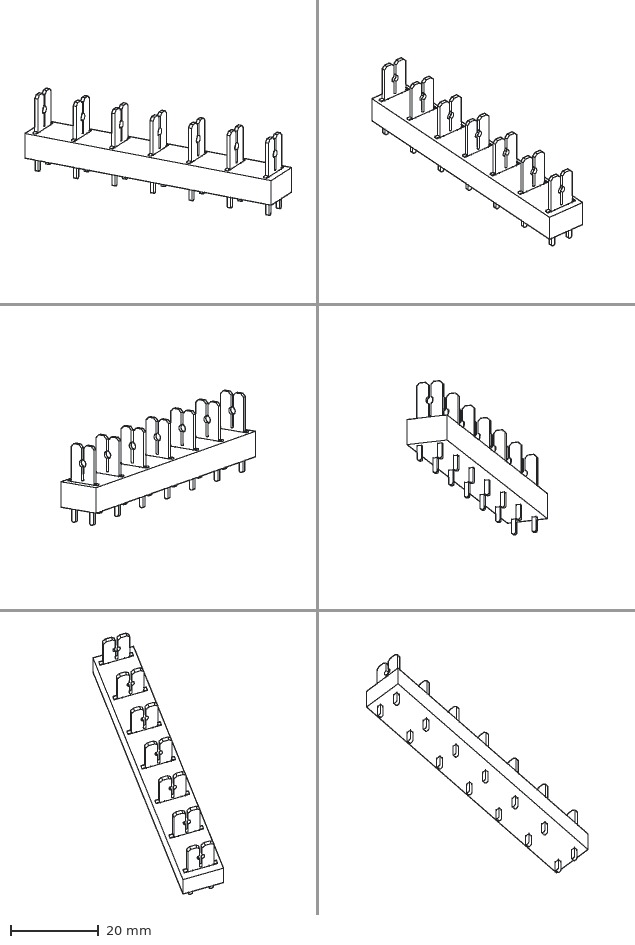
import cadquery as cq

housing_length = 64.0
housing_width = 9.8
housing_height = 6.0

contact_count = 7
contact_pitch = 10.0
contact_thickness = 0.8

shoulder_width = 8.05
shoulder_height = 0.25
shoulder_radius = 0.2
blade_width = 6.35
blade_height = 8.95
tip_chamfer = 0.7
slot_width = 0.6
slot_floor_height = 0.6
eye_diameter = 1.7
eye_height = 4.6
leg_width = 1.0
leg_spacing = 5.0
leg_projection = 3.5
leg_tip_radius = 0.45

blade_top = housing_height + blade_height
slot_floor = housing_height + slot_floor_height
prong_width = (blade_width - slot_width) / 2
prong_offset = (blade_width + slot_width) / 4
leg_offset = leg_spacing / 2
contact_positions = [
    (index - (contact_count - 1) / 2) * contact_pitch for index in range(contact_count)
]


def plate(width, bottom, top, y=0.0):
    """Upright plate of contact thickness, centred on X = 0."""
    return cq.Workplane("XY").box(
        contact_thickness, width, top - bottom, centered=(True, True, False)
    ).translate((0, y, bottom))


def extrude_profile(points):
    """Plate of contact thickness from an outline of (y, z) points, centred on X = 0."""
    return cq.Workplane("YZ").polyline(points).close().extrude(contact_thickness / 2, both=True)


def make_prong(y):
    """Blade prong centred on y, with 45 degree chamfers on both corners of its tip."""
    left = y - prong_width / 2
    right = y + prong_width / 2
    chamfer_start = blade_top - tip_chamfer
    return extrude_profile([
        (left, housing_height),
        (left, chamfer_start),
        (left + tip_chamfer, blade_top),
        (right - tip_chamfer, blade_top),
        (right, chamfer_start),
        (right, housing_height),
    ])


def make_leg(y):
    """Leg centred on y, from the housing top down to a tip with rounded corners."""
    leg = plate(leg_width, -leg_projection, housing_height, y)
    return leg.faces("<Z").edges("|X").fillet(leg_tip_radius)


def make_shoulder():
    """Thin strip on the housing, with its upper end corners rounded."""
    strip = plate(shoulder_width, housing_height, housing_height + shoulder_height)
    return strip.faces(">Z").edges("|X").fillet(shoulder_radius)


def make_slot():
    """Round-bottomed slot that divides the blade, with the round eye across it."""
    radius = slot_width / 2
    slot = (
        cq.Workplane("YZ")
        .moveTo(-radius, blade_top)
        .lineTo(-radius, slot_floor + radius)
        .threePointArc((0, slot_floor), (radius, slot_floor + radius))
        .lineTo(radius, blade_top)
        .close()
        .extrude(contact_thickness, both=True)
    )
    eye = (
        cq.Workplane("YZ")
        .center(0, housing_height + eye_height)
        .circle(eye_diameter / 2)
        .extrude(contact_thickness, both=True)
    )
    return slot.union(eye)


def make_contact(x):
    contact = make_shoulder().union(
        plate(blade_width, housing_height, blade_top - tip_chamfer)
    )

    for side in (-1, 1):
        contact = contact.union(make_prong(side * prong_offset))
        contact = contact.union(make_leg(side * leg_offset))

    return contact.cut(make_slot()).translate((x, 0, 0))


def make_housing():
    housing = cq.Workplane("XY").box(
        housing_length, housing_width, housing_height, centered=(True, True, False)
    )
    for x in contact_positions:
        for side in (-1, 1):
            leg_hole = plate(leg_width, 0, housing_height, side * leg_offset)
            housing = housing.cut(leg_hole.translate((x, 0, 0)))
    return housing


housing = make_housing()
contacts = [make_contact(x) for x in contact_positions]

result = cq.Compound.makeCompound(
    [housing.val()] + [contact.val() for contact in contacts]
)